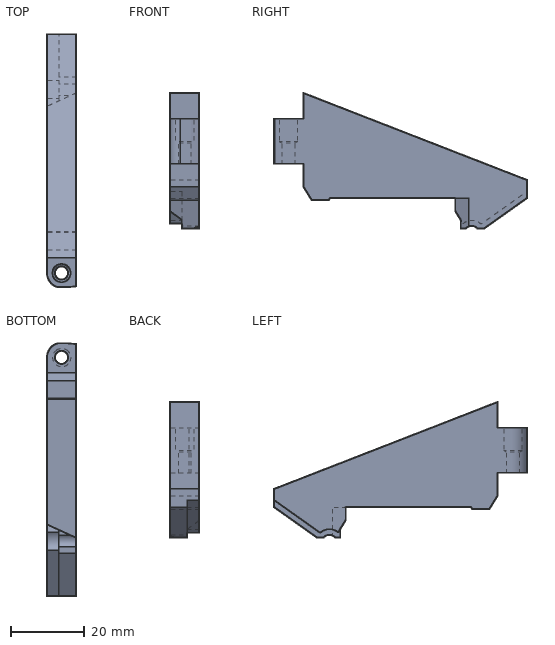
import cadquery as cq
import math

width = 8.0
length = 69.25
height = 37.1
body_front_y = 8.0
tip_top_z = 13.3
underside_z = 8.3

pad_z = 7.75
pad_back_y = 15.0
pad_step_y = 15.3
pad_front_y = 10.3
pad_chamfer_z = 11.4

foot_back_y = 57.55
foot_front_y = 49.6
foot_step_y = 51.1
rebate_width = 3.3
rebate_depth = 1.6
foot_bevel_z = 4.8
foot_bevel_step_z = 2.35
groove_y = 54.1
groove_z = -1.45
groove_radius = 2.15

lug_bottom_z = 17.65
lug_top_z = 30.05
lug_arc_y = 3.95
lug_flat_start_x = 2.9
lug_flat_end_x = 5.8
lug_corner_y = 0.2
hole_x = width / 2
hole_y = 3.9
bore_diameter = 5.0
hole_diameter = 3.5
cone_angle = 118


def extrude_profile(points, depth):
    """Extrude a closed YZ polygon from X = 0 toward +X."""
    return cq.Workplane("YZ").polyline(points).close().extrude(depth)


def make_body():
    return extrude_profile(
        [
            (body_front_y, height),
            (length, tip_top_z),
            (length, underside_z),
            (foot_back_y, 0),
            (foot_front_y, 0),
            (foot_front_y, underside_z),
            (pad_step_y, underside_z),
            (pad_back_y, pad_z),
            (pad_front_y, pad_z),
            (body_front_y, pad_chamfer_z),
        ],
        width,
    )


def make_groove(radius, depth):
    """Round groove under the foot."""
    return cq.Workplane("YZ").center(groove_y, groove_z).circle(radius).extrude(depth)


def make_foot_front_cut():
    """Wedge that slants the front face of the foot across the width."""
    foot_far_y = foot_front_y + (foot_step_y - foot_front_y) * width / rebate_width
    return (
        cq.Workplane("XY")
        .polyline([(0, foot_front_y), (width, foot_front_y), (width, foot_far_y)])
        .close()
        .extrude(underside_z)
    )


def make_foot_rebate():
    """Step on the -X side of the foot, following its back slope, front bevel and groove."""
    slope_run = length - foot_back_y
    vertical_rise = rebate_depth * math.hypot(slope_run, underside_z) / slope_run
    horizontal_shift = vertical_rise * slope_run / underside_z
    band = extrude_profile(
        [
            (length, underside_z + vertical_rise),
            (foot_back_y - horizontal_shift, 0),
            (foot_back_y, 0),
            (length, underside_z),
        ],
        rebate_width,
    )
    bevel_slope = (foot_step_y - foot_front_y) / (foot_bevel_z - foot_bevel_step_z)
    bevel = extrude_profile(
        [
            (foot_front_y, foot_bevel_z),
            (foot_front_y + foot_bevel_z * bevel_slope, 0),
            (foot_front_y, 0),
        ],
        rebate_width,
    )
    groove = make_groove(groove_radius + rebate_depth, rebate_width)
    return band.union(bevel).union(groove)


def make_lug():
    arc_radius = (lug_flat_start_x**2 + lug_arc_y**2) / (2 * lug_flat_start_x)
    half_angle = math.atan2(lug_arc_y, arc_radius - lug_flat_start_x) / 2
    arc_middle = (
        arc_radius * (1 - math.cos(half_angle)),
        lug_arc_y - arc_radius * math.sin(half_angle),
    )
    return (
        cq.Workplane("XY", origin=(0, 0, lug_bottom_z))
        .moveTo(0, body_front_y)
        .lineTo(0, lug_arc_y)
        .threePointArc(arc_middle, (lug_flat_start_x, 0))
        .lineTo(lug_flat_end_x, 0)
        .lineTo(width, lug_corner_y)
        .lineTo(width, body_front_y)
        .close()
        .extrude(lug_top_z - lug_bottom_z)
    )


def make_lug_hole():
    """Vertical through hole with a wider bore from the top, ending in a cone."""
    bore_radius = bore_diameter / 2
    hole_radius = hole_diameter / 2
    cone_top_z = (lug_bottom_z + lug_top_z) / 2
    cone_depth = (bore_radius - hole_radius) / math.tan(math.radians(cone_angle / 2))
    return (
        cq.Workplane("XZ", origin=(hole_x, hole_y, 0))
        .polyline(
            [
                (0, lug_bottom_z),
                (hole_radius, lug_bottom_z),
                (hole_radius, cone_top_z - cone_depth),
                (bore_radius, cone_top_z),
                (bore_radius, lug_top_z),
                (0, lug_top_z),
            ]
        )
        .close()
        .revolve(360, (0, 0, 0), (0, 1, 0))
    )


body = make_body()
body = body.cut(make_foot_front_cut())
body = body.cut(make_foot_rebate())
body = body.cut(make_groove(groove_radius, width))
result = body.union(make_lug().cut(make_lug_hole()))